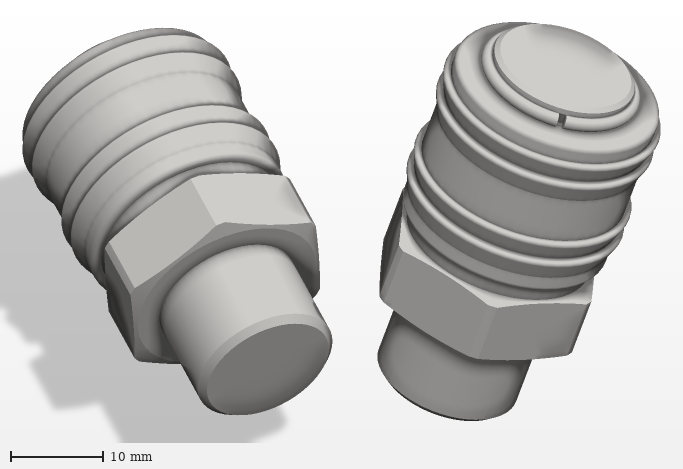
import cadquery as cq
import math

total_length = 43.1

stem_diameter = 16.0
plug_chamfer_length = 0.45
plug_face_diameter = 14.95
neck_diameter = 21.0
hex_start = 24.0
hex_end = 32.0
hex_across_flats = 22.0
hex_corner_diameter = 24.8
hex_rotation = 2.4
hex_face_diameter = 21.1
hex_chamfer_angle = 15.0
spigot_chamfer = 0.78

wire_diameter = 1.5
ring_outer_diameter = 18.0
ring_center_x = 1.8
ring_gap = 0.85
ring_path_radius = (ring_outer_diameter - wire_diameter) / 2
groove_diameter = ring_outer_diameter - 2 * wire_diameter

sleeve_start = 2.65
sleeve_end = 22.05
sleeve_diameter = 23.3
sleeve_edge_fillet = 0.6
neck_bore_diameter = 21.1
neck_bore_depth = 9.15
neck_start = sleeve_end - neck_bore_depth
rib_diameter = hex_corner_diameter
first_rib_x = 4.53
rib_pitch = 2.6
rib_pair_count = 2
rib_pair_pitch = 10.5
rib_crest_radius = 0.4
rib_valley_radius = 0.195
rib_slope = math.radians(20)


def revolve_about_x(profile):
    """Turn a closed profile drawn as (x, radius) into a solid of revolution."""
    return profile.revolve(360, (0, 0, 0), (1, 0, 0))


def cylinder(start, end, diameter):
    return cq.Workplane("YZ", origin=(start, 0, 0)).circle(diameter / 2).extrude(end - start)


def ring_torus():
    """Closed wire ring, before its gap is cut."""
    wire_section = cq.Workplane("XZ").center(ring_center_x, -ring_path_radius).circle(wire_diameter / 2)
    return wire_section.revolve(360, (0, ring_path_radius, 0), (1, ring_path_radius, 0))


def hexagon():
    """Hexagon with its corners turned down and both ends coned off."""
    corner_radius = hex_corner_diameter / 2
    face_radius = hex_face_diameter / 2
    cone_length = (corner_radius - face_radius) * math.tan(math.radians(hex_chamfer_angle))
    envelope = revolve_about_x(
        cq.Workplane("XY").polyline([
            (hex_start, 0),
            (hex_start, face_radius),
            (hex_start + cone_length, corner_radius),
            (hex_end - cone_length, corner_radius),
            (hex_end, face_radius),
            (hex_end, 0),
        ]).close()
    )
    prism = (
        cq.Workplane("YZ", origin=(hex_start, 0, 0))
        .polygon(6, hex_across_flats, circumscribed=True)
        .extrude(hex_end - hex_start)
        .rotate((0, 0, 0), (1, 0, 0), hex_rotation)
    )
    return envelope.intersect(prism)


def groove_cutter():
    """Rectangular groove that seats the inner side of the snap ring."""
    groove_start = ring_center_x - wire_diameter / 2
    groove_end = ring_center_x + wire_diameter / 2
    outer = cylinder(groove_start, groove_end, stem_diameter)
    return outer.cut(cylinder(groove_start, groove_end, groove_diameter))


def make_core():
    stem_radius = stem_diameter / 2
    stem = revolve_about_x(
        cq.Workplane("XY").polyline([
            (0, 0),
            (0, plug_face_diameter / 2),
            (plug_chamfer_length, stem_radius),
            (total_length - spigot_chamfer, stem_radius),
            (total_length, stem_radius - spigot_chamfer),
            (total_length, 0),
        ]).close()
    )
    neck = cylinder(neck_start, hex_start, neck_diameter)
    return stem.union(neck).union(hexagon()).cut(groove_cutter())


def make_snap_ring():
    gap_cutter = cq.Workplane("XY").box(
        2 * wire_diameter, ring_gap, ring_outer_diameter
    ).translate((ring_center_x, 0, -ring_outer_diameter / 2))
    return ring_torus().cut(gap_cutter)


def slope_radius(rib_start, x):
    """Radius of the back slope of a rib at a given X; the slope is tangent to the crest rounding."""
    crest_center_radius = rib_diameter / 2 - rib_crest_radius
    distance = x - (rib_start + rib_crest_radius)
    return crest_center_radius + rib_crest_radius / math.cos(rib_slope) - distance * math.tan(rib_slope)


def arc_point(center_x, center_radius, radius, angle):
    """Point (x, radius) on a profile arc, with the angle measured from +X."""
    return center_x + radius * math.cos(angle), center_radius + radius * math.sin(angle)


def add_rib_crest(profile, rib_start):
    """Add the upright front of a rib and its rounded crest, up to where the back slope begins."""
    center = (rib_start + rib_crest_radius, rib_diameter / 2 - rib_crest_radius)
    slope_tangent_angle = math.pi / 2 - rib_slope
    return profile.lineTo(rib_start, center[1]).threePointArc(
        arc_point(*center, rib_crest_radius, (math.pi + slope_tangent_angle) / 2),
        arc_point(*center, rib_crest_radius, slope_tangent_angle),
    )


def add_rib_valley(profile, rib_start, next_rib_start):
    """Add the back slope of a rib and the rounding that leads into the front of the next one."""
    center_x = next_rib_start - rib_valley_radius
    center = (center_x, slope_radius(rib_start, center_x) + rib_valley_radius / math.cos(rib_slope))
    slope_tangent_angle = -math.pi / 2 - rib_slope
    return profile.lineTo(*arc_point(*center, rib_valley_radius, slope_tangent_angle)).threePointArc(
        arc_point(*center, rib_valley_radius, slope_tangent_angle / 2),
        (next_rib_start, center[1]),
    )


def rib_pair(start):
    """Two saw-tooth grip ribs, each with an upright rounded front and a slope down toward +X."""
    second_start = start + rib_pitch
    sleeve_radius = sleeve_diameter / 2
    slope_end = second_start + (slope_radius(second_start, second_start) - sleeve_radius) / math.tan(rib_slope)
    profile = cq.Workplane("XY").moveTo(start, stem_diameter / 2)
    profile = add_rib_crest(profile, start)
    profile = add_rib_valley(profile, start, second_start)
    profile = add_rib_crest(profile, second_start)
    profile = profile.lineTo(slope_end, sleeve_radius).lineTo(slope_end, stem_diameter / 2).close()
    return revolve_about_x(profile)


def make_sleeve():
    sleeve = cylinder(sleeve_start, sleeve_end, sleeve_diameter).edges().fillet(sleeve_edge_fillet)
    for pair in range(rib_pair_count):
        sleeve = sleeve.union(rib_pair(first_rib_x + pair * rib_pair_pitch))
    stem_bore = cylinder(sleeve_start, sleeve_end, stem_diameter)
    neck_bore = cylinder(neck_start, sleeve_end, neck_bore_diameter)
    return sleeve.cut(stem_bore).cut(neck_bore)


core = make_core()
snap_ring = make_snap_ring()
sleeve = make_sleeve()

result = cq.Compound.makeCompound([core.val(), snap_ring.val(), sleeve.val()])